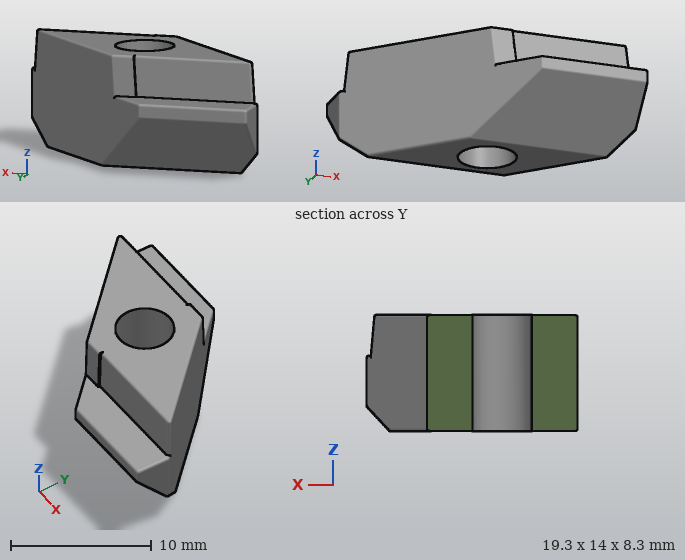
import cadquery as cq
import math

length = 19.3
flange_width = 14.0
height = 8.3

shoulder_height = 5.4
flange_thickness = 1.0
bottom_width = 5.8
diagonal_width = 7.6

boss_top_width = 8.0
pad_projection = 0.15
pad_end_x = 0.4
draft_angle = 5.0

hole_diameter = 4.2
edge_radius = 0.2

boss_root = shoulder_height - edge_radius
boss_height = height - boss_root
draft_spread = boss_height * math.tan(math.radians(draft_angle))


def diagonal_bar():
    """Upright bar between the two diagonal side faces."""
    reach = length + flange_width
    bar = cq.Workplane("XY").box(reach, diagonal_width, height, centered=(True, True, False))
    return bar.rotate((0, 0, 0), (0, 0, 1), -45)


def make_base():
    """Flanged section cut to the diagonal outline, rounded on every edge."""
    half_flange = flange_width / 2
    half_bottom = bottom_width / 2
    flange_bottom = shoulder_height - flange_thickness
    section = [
        (-half_bottom, 0),
        (half_bottom, 0),
        (half_flange, flange_bottom),
        (half_flange, shoulder_height),
        (-half_flange, shoulder_height),
        (-half_flange, flange_bottom),
    ]
    bar = cq.Workplane("YZ").polyline(section).close().extrude(length / 2, both=True)
    return bar.intersect(diagonal_bar()).edges().fillet(edge_radius)


def make_boss(top_width):
    """Drafted boss between the diagonal faces, rounded on its top and corners."""
    half_top = top_width / 2
    half_root = half_top + draft_spread
    section = [
        (-half_root, boss_root),
        (half_root, boss_root),
        (half_top, height),
        (-half_top, height),
    ]
    bar = cq.Workplane("YZ").polyline(section).close().extrude(length, both=True)
    boss = bar.intersect(diagonal_bar())
    return boss.edges("not <Z").fillet(edge_radius)


def make_pad_zone():
    """Front half of the boss, up to the drafted end of the front pad."""
    outline = [
        (-length, boss_root),
        (pad_end_x + draft_spread, boss_root),
        (pad_end_x, height),
        (-length, height),
    ]
    return cq.Workplane("XZ").polyline(outline).close().extrude(flange_width / 2)


def make_pads():
    """The two raised pads, each a half-turn copy of the other."""
    front_pad = make_boss(boss_top_width + 2 * pad_projection).intersect(make_pad_zone())
    rear_pad = front_pad.rotate((0, 0, 0), (0, 0, 1), 180)
    return front_pad.union(rear_pad)


def make_hole():
    """Vertical hole through the centre."""
    return cq.Workplane("XY").circle(hole_diameter / 2).extrude(height)


boss = make_boss(boss_top_width).union(make_pads())
result = make_base().union(boss).cut(make_hole()).clean()